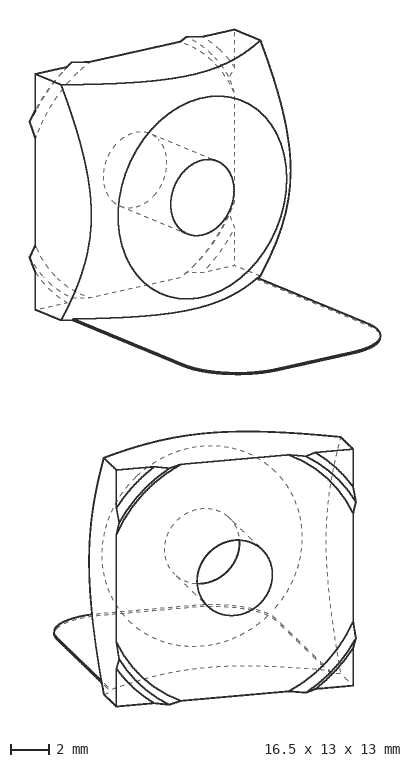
import cadquery as cq

block_side = 13.0
block_length = 6.0
end_chamfer = 1.0
bore_diameter = 4.13

ridge_height = 0.5
ridge_radius = 7.5
ridge_half_width = 0.36
ridge_root_depth = 0.2

tab_reach = 10.0
tab_width = 12.0
tab_thickness = 0.1
tab_corner_radius = 3.5

half_side = block_side / 2
end_radius = half_side - end_chamfer
base_radius = end_radius + block_length
ridge_slope = ridge_half_width / ridge_height
ridge_root_half_width = ridge_half_width + ridge_root_depth * ridge_slope
tab_end = block_length + tab_reach


def square_bar(start, end):
    """Square bar along X that bounds the block and its ridge."""
    return cq.Workplane("YZ").workplane(offset=start).rect(block_side, block_side).extrude(end - start)


def revolve_about_x(points):
    """Turn a closed (x, radius) outline about the X axis."""
    return cq.Workplane("XY").polyline(points).close().revolve(360, (0, 0, 0), (1, 0, 0))


def make_block():
    """Square block whose far end is turned to a 45 degree cone."""
    cone = revolve_about_x([
        (0, 0),
        (0, base_radius),
        (block_length, end_radius),
        (block_length, 0),
    ])
    return square_bar(0, block_length).intersect(cone)


def make_ridge():
    """V-shaped ring on the mounting face, left only at the four corners of the square."""
    ring = revolve_about_x([
        (-ridge_height, ridge_radius),
        (ridge_root_depth, ridge_radius - ridge_root_half_width),
        (ridge_root_depth, ridge_radius + ridge_root_half_width),
    ])
    return ring.intersect(square_bar(-ridge_height, block_length))


def make_tab():
    """Thin tab flush with the underside, starting inside the block and rounded at its free end."""
    return (
        cq.Workplane("XY")
        .workplane(offset=-half_side)
        .center(tab_end / 2, 0)
        .rect(tab_end, tab_width)
        .extrude(tab_thickness)
        .edges("|Z and >X")
        .fillet(tab_corner_radius)
    )


def make_bore():
    """Through bore along the block axis."""
    return cq.Workplane("YZ").circle(bore_diameter / 2).extrude(block_length)


result = make_block().union(make_ridge()).union(make_tab()).cut(make_bore())